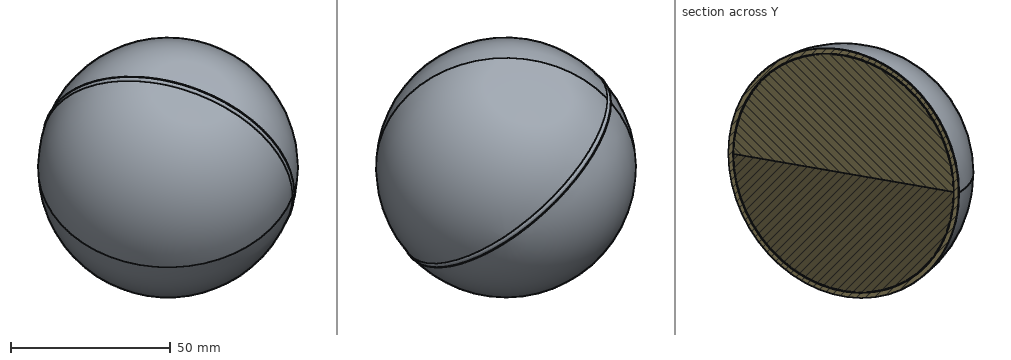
import cadquery as cq

BALL_DIAMETER = 81.8
RING_OUTER_DIAMETER = 82.3
RING_SECTION_DIAMETER = 2.0
RING_OFFSET_Y = 0.4

ball_radius = BALL_DIAMETER / 2
ring_outer_radius = RING_OUTER_DIAMETER / 2
ring_section_radius = RING_SECTION_DIAMETER / 2
ring_centre_radius = ring_outer_radius - ring_section_radius
groove_floor_radius = ring_outer_radius - RING_SECTION_DIAMETER


def make_ring():
    """Round-section ring about the Y axis, standing slightly proud of the ball."""
    return (
        cq.Workplane("XY")
        .center(ring_centre_radius, RING_OFFSET_Y)
        .circle(ring_section_radius)
        .revolve(360, (-ring_centre_radius, 0, 0), (-ring_centre_radius, 1, 0))
    )


def make_groove():
    """Square-section groove volume that seats the ring and opens at the ball surface."""
    return (
        cq.Workplane("XZ", origin=(0, RING_OFFSET_Y, 0))
        .circle(ring_outer_radius)
        .circle(groove_floor_radius)
        .extrude(ring_section_radius, both=True)
    )


def make_half_ball(side, groove):
    """Solid half ball above (side = 1) or below (side = -1) Z = 0, grooved for the ring."""
    quarter_profile = (
        cq.Workplane("XZ")
        .lineTo(ball_radius, 0)
        .radiusArc((0, side * ball_radius), -side * ball_radius)
        .close()
    )
    half_ball = quarter_profile.revolve(360, (0, 0, 0), (0, 1, 0))
    return half_ball.cut(groove)


ring = make_ring()
groove = make_groove()
upper_half = make_half_ball(1, groove)
lower_half = make_half_ball(-1, groove)

result = cq.Compound.makeCompound([ring.val(), *upper_half.vals(), *lower_half.vals()])